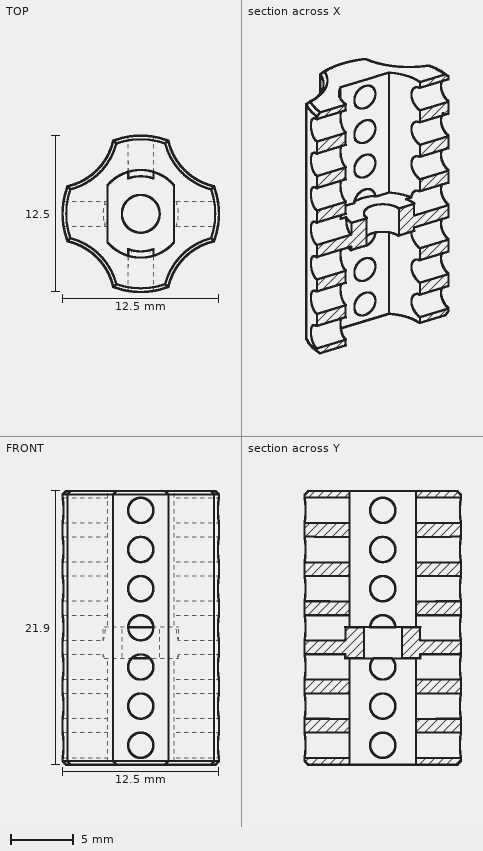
import cadquery as cq
import math

body_diameter = 12.5
body_radius = body_diameter / 2
edge_chamfer = 0.3
scallop_corner_offset = 2.2
scallop_depth_radius = 4.94

hole_diameter = 2.0
hole_pitch = 3.125
hole_count = 7
height = hole_count * hole_pitch

socket_diameter = 7.0
socket_width = 5.3
hole_stop_diameter = 6.0
web_bottom = 8.5
web_top = 11.0
axis_hole_diameter = 3.0


def turned(x, y, angle):
    """Point (x, y) turned about the Z axis."""
    return (
        x * math.cos(angle) - y * math.sin(angle),
        x * math.sin(angle) + y * math.cos(angle),
    )


def scalloped_body():
    """Bar with four lobes on the X and Y axes and concave scallops between them."""
    corner = math.sqrt(body_radius**2 - scallop_corner_offset**2)
    scallop = scallop_depth_radius * math.cos(math.pi / 4)
    outline = cq.Workplane("XY").moveTo(corner, -scallop_corner_offset)
    for quarter in range(4):
        angle = quarter * math.pi / 2
        crest = turned(body_radius, 0, angle)
        crest_end = turned(corner, scallop_corner_offset, angle)
        scallop_middle = turned(scallop, scallop, angle)
        scallop_end = turned(scallop_corner_offset, corner, angle)
        outline = outline.threePointArc(crest, crest_end)
        outline = outline.threePointArc(scallop_middle, scallop_end)
    body = outline.close().extrude(height)
    return body.faces("<Z or >Z").chamfer(edge_chamfer)


def level_slab(shape):
    """Part of a shape that lies between the bottom and top faces of the web."""
    slab = cq.Workplane("XY").workplane(offset=web_bottom).rect(body_diameter, body_diameter)
    return shape.intersect(slab.extrude(web_top - web_bottom))


def double_d_socket():
    """Round bore with two flats facing each other along X, full height."""
    bore = cq.Workplane("XY").circle(socket_diameter / 2).extrude(height)
    flats = cq.Workplane("XY").rect(socket_width, socket_diameter).extrude(height)
    return bore.intersect(flats)


def radial_holes(plane):
    """One vertical row of holes running right through the body, normal to the plane."""
    centres = [(0, (row + 0.5) * hole_pitch) for row in range(hole_count)]
    return (
        cq.Workplane(plane)
        .pushPoints(centres)
        .circle(hole_diameter / 2)
        .extrude(body_diameter, both=True)
    )


def web():
    """Solid wall across the socket, between its two blind ends."""
    return level_slab(double_d_socket())


def hole_stop():
    """Core of the web that the radial holes leave uncut."""
    core = cq.Workplane("XY").circle(hole_stop_diameter / 2).extrude(height)
    return level_slab(core)


def axis_hole():
    """Hole through the middle of the web."""
    return cq.Workplane("XY").circle(axis_hole_diameter / 2).extrude(height)


socket_ends = double_d_socket().cut(web())
result = scalloped_body().cut(socket_ends)
for plane in ("XZ", "YZ"):
    result = result.cut(radial_holes(plane).cut(hole_stop()))
result = result.cut(axis_hole())